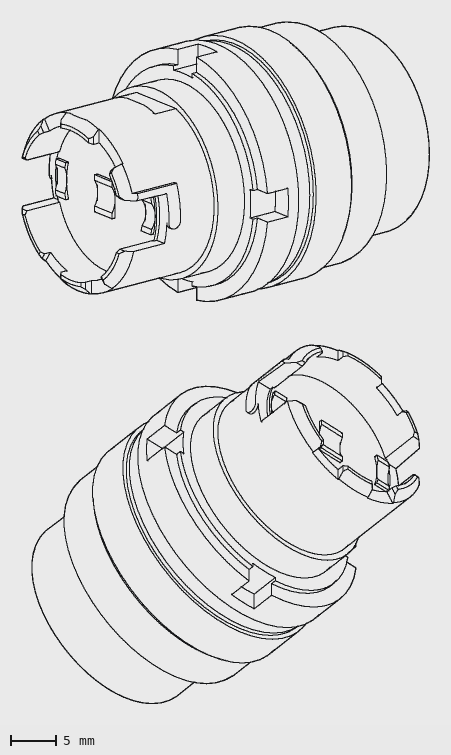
import cadquery as cq
import math

LENGTH = 41.9

NOSE_BACK = 12.15
LIP_FRONT = 15.92
FLANGE_FRONT = 16.55
FLANGE_BACK = 20.9
COLLAR_LIP_FRONT = 22.88
COLLAR_FRONT = 23.4
COLLAR_SHOULDER = 28.4
BAND_FRONT = 28.95
BAND_EDGE = 33.55
BAND_BACK = 33.95
CAP_EDGE = 41.05

FLANGE_R = 28.8 / 2
COLLAR_LIP_R = 27.8 / 2
BAND_R = 27.6 / 2
NECK_R = 22.0 / 2
LIP_R = 12.6
BAND_BACK_R = 13.7
CAP_FRONT_R = 11.8
CAP_BACK_R = 11.75
CAP_FACE_R = 11.35
CAP_ROUND_MIDDLE = (11.65, 41.5)

NOSE_R = 10.3
TIP_R = 9.25
TIP_CHAMFER = 1.1
CAVITY_R = 8.8
CAVITY_DEPTH = 5.03
PLUG_R = 9.0

NOTCH_DEPTH = 1.2
TOOTH_CHAMFER = 0.38
TOOTH_LEFT = -2.18
TOP_TOOTH_RIGHT = 3.55
BOTTOM_TOOTH_RIGHT = 2.18
RIGHT_TOOTH_ANGLE = 41.0
LEFT_TOOTH_ANGLE = 53.0
BOTTOM_TOOTH_ANGLE = 54.5
WINDOW_HALF_HEIGHT = 2.97
WINDOW_DEPTH = 5.45
CUT_INNER_R = 7.55
CUT_OUTER_R = 12.55

WIDE_FLAT_WIDTH = 7.0
WIDE_FLAT_FRONT = 9.2
NARROW_FLAT_WIDTH = 3.05

HOOK_R = 10.7
HOOK_TOP = 3.77
HOOK_BOTTOM = -1.25
HOOK_BACK = 7.1

SLOT_COUNT = 4
SLOT_WIDTH = 3.35
SLOT_BACK = 19.45
SLOT_FLOOR_R = 12.1

PAD_HEIGHT = 0.38
PAD_HALF_Z = 2.18
PAD_WIDTH = 3.1
SIDE_PAD_INNER_R = 7.05
SIDE_PAD_OUTER_R = 8.7
SCOOP_HALF_Z = 1.5
SCOOP_DEPTH = 0.4


def block(x0, x1, y0, y1, z0, z1):
    """Box between two opposite corners."""
    return cq.Workplane("XY").box(x1 - x0, y1 - y0, z1 - z0, centered=False).translate((x0, y0, z0))


def disc(radius, front, back):
    """Cylinder about the Y axis between two stations."""
    return cq.Workplane("XZ", origin=(0, back, 0)).circle(radius).extrude(back - front)


def turned_body():
    """Solid of revolution with every shoulder of the part, nose still closed."""
    outline = [
        (0, 0),
        (TIP_R, 0),
        (NOSE_R, TIP_CHAMFER),
        (NOSE_R, NOSE_BACK),
        (NECK_R, NOSE_BACK),
        (NECK_R, LIP_FRONT),
        (LIP_R, LIP_FRONT),
        (LIP_R, FLANGE_FRONT),
        (FLANGE_R, FLANGE_FRONT),
        (FLANGE_R, FLANGE_BACK),
        (NECK_R, FLANGE_BACK),
        (NECK_R, COLLAR_LIP_FRONT),
        (COLLAR_LIP_R, COLLAR_LIP_FRONT),
        (COLLAR_LIP_R, COLLAR_FRONT),
        (FLANGE_R, COLLAR_FRONT),
        (FLANGE_R, COLLAR_SHOULDER),
        (BAND_R, BAND_FRONT),
        (BAND_R, BAND_EDGE),
        (BAND_BACK_R, BAND_BACK),
        (CAP_FRONT_R, BAND_BACK),
        (CAP_BACK_R, CAP_EDGE),
    ]
    return (
        cq.Workplane("XY")
        .polyline(outline)
        .threePointArc(CAP_ROUND_MIDDLE, (CAP_FACE_R, LENGTH))
        .lineTo(0, LENGTH)
        .close()
        .revolve(360, (0, 0, 0), (0, 1, 0))
    )


def flat_cutter(width, front, back):
    """Cutter that leaves a flat of the given width on top of the nose."""
    height = math.sqrt(NOSE_R**2 - (width / 2) ** 2)
    return block(-width, width, front, back, height, CUT_OUTER_R)


def hook(side):
    """Raised L on one side of the nose, its leg ending in a half round.

    Its front follows the cone of the tip chamfer.
    """
    leg_radius = (HOOK_BACK - WINDOW_DEPTH) / 2
    leg_middle = (HOOK_BACK + WINDOW_DEPTH) / 2
    leg_end = HOOK_BOTTOM + leg_radius
    profile = (
        cq.Workplane("YZ")
        .moveTo(TIP_CHAMFER, HOOK_TOP)
        .lineTo(HOOK_BACK, HOOK_TOP)
        .lineTo(HOOK_BACK, leg_end)
        .threePointArc((leg_middle, HOOK_BOTTOM), (WINDOW_DEPTH, leg_end))
        .lineTo(WINDOW_DEPTH, WINDOW_HALF_HEIGHT)
        .lineTo(TIP_CHAMFER, WINDOW_HALF_HEIGHT)
        .close()
        .extrude(side * CUT_OUTER_R)
    )
    cone_front = TIP_CHAMFER * (HOOK_R - TIP_R) / (NOSE_R - TIP_R)
    section = [
        (PLUG_R, TIP_CHAMFER),
        (NOSE_R, TIP_CHAMFER),
        (HOOK_R, cone_front),
        (HOOK_R, HOOK_BACK),
        (PLUG_R, HOOK_BACK),
    ]
    ring = cq.Workplane("XY").polyline(section).close().revolve(360, (0, 0, 0), (0, 1, 0))
    return profile.intersect(ring)


def rim_cutter(corners, depth):
    """Cutter from the front rim to a depth, flared at the mouth to chamfer the tooth ends."""
    straight = cq.Workplane("XZ", origin=(0, depth, 0)).polyline(corners).close().extrude(depth)
    mouth = (
        cq.Workplane("XZ", origin=(0, TOOTH_CHAMFER, 0))
        .polyline(corners)
        .close()
        .extrude(TOOTH_CHAMFER, taper=-45)
    )
    return straight.union(mouth)


def notch(x, angle, side, end):
    """Notch between a straight tooth end at x and a radial one at an angle from the X axis."""
    cosine = side * math.cos(math.radians(angle))
    sine = end * math.sin(math.radians(angle))
    corners = [
        (x, end * CUT_INNER_R),
        (x, end * CUT_OUTER_R),
        (CUT_OUTER_R * cosine, end * CUT_OUTER_R),
        (CUT_OUTER_R * cosine, CUT_OUTER_R * sine),
        (CUT_INNER_R * cosine, CUT_INNER_R * sine),
    ]
    return rim_cutter(corners, NOTCH_DEPTH)


def window(side):
    """Opening through one side of the nose wall."""
    corners = [
        (side * CUT_INNER_R, -WINDOW_HALF_HEIGHT),
        (side * CUT_OUTER_R, -WINDOW_HALF_HEIGHT),
        (side * CUT_OUTER_R, WINDOW_HALF_HEIGHT),
        (side * CUT_INNER_R, WINDOW_HALF_HEIGHT),
    ]
    return rim_cutter(corners, WINDOW_DEPTH)


def contact_pads():
    """Middle pad and two side pads, hollowed by one cylindrical scoop along X."""
    front = CAVITY_DEPTH - PAD_HEIGHT
    back = CAVITY_DEPTH + SCOOP_DEPTH
    middle = block(-PAD_WIDTH / 2, PAD_WIDTH / 2, front, back, -PAD_HALF_Z, PAD_HALF_Z)
    ring = disc(SIDE_PAD_OUTER_R, front, back).cut(disc(SIDE_PAD_INNER_R, front, back))
    sides = ring.intersect(block(-CAVITY_R, CAVITY_R, front, back, -PAD_HALF_Z, PAD_HALF_Z))
    scoop_radius = (SCOOP_HALF_Z**2 + SCOOP_DEPTH**2) / (2 * SCOOP_DEPTH)
    scoop = (
        cq.Workplane("YZ", origin=(-CAVITY_R, 0, 0))
        .center(front + SCOOP_DEPTH - scoop_radius, 0)
        .circle(scoop_radius)
        .extrude(2 * CAVITY_R)
    )
    pads = middle.union(sides)
    return pads, scoop.intersect(pads)


body = turned_body()
for side in (-1, 1):
    body = body.union(hook(side))

body = body.cut(flat_cutter(WIDE_FLAT_WIDTH, WIDE_FLAT_FRONT, NOSE_BACK))
body = body.cut(flat_cutter(NARROW_FLAT_WIDTH, 0, WIDE_FLAT_FRONT))

slot = block(-SLOT_WIDTH / 2, SLOT_WIDTH / 2, LIP_FRONT, SLOT_BACK, 0, FLANGE_R)
slot = slot.cut(disc(SLOT_FLOOR_R, LIP_FRONT, SLOT_BACK))
for index in range(SLOT_COUNT):
    body = body.cut(slot.rotate((0, 0, 0), (0, 1, 0), index * 360 / SLOT_COUNT))

body = body.cut(notch(TOOTH_LEFT, LEFT_TOOTH_ANGLE, -1, 1))
body = body.cut(notch(TOP_TOOTH_RIGHT, RIGHT_TOOTH_ANGLE, 1, 1))
body = body.cut(notch(TOOTH_LEFT, BOTTOM_TOOTH_ANGLE, -1, -1))
body = body.cut(notch(BOTTOM_TOOTH_RIGHT, BOTTOM_TOOTH_ANGLE, 1, -1))
for side in (-1, 1):
    body = body.cut(window(side))

body = body.cut(disc(CAVITY_R, 0, CAVITY_DEPTH))
body = body.union(disc(PLUG_R, CAVITY_DEPTH, NOSE_BACK))
pads, scoops = contact_pads()
result = body.union(pads).cut(scoops)